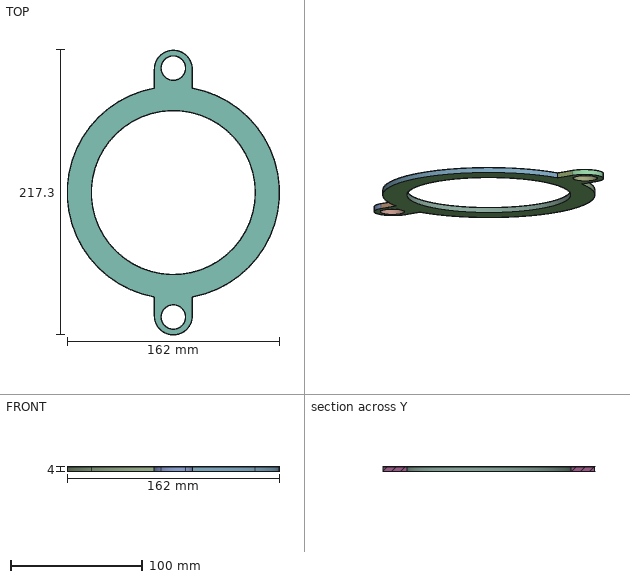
import cadquery as cq

ring_diameter = 162.0
bore_diameter = 125.0
thickness = 4.0

overall_length = 217.3
lug_width = 29.1
lug_hole_diameter = 18.5
lug_hole_y = 95.0


def extruded_disc(diameter, y=0.0):
    return cq.Workplane("XY").center(0, y).circle(diameter / 2).extrude(thickness)


lug_bar = cq.Workplane("XY").slot2D(overall_length, lug_width, 90).extrude(thickness)

result = extruded_disc(ring_diameter).union(lug_bar)
result = result.cut(extruded_disc(bore_diameter))
for side in (-1, 1):
    result = result.cut(extruded_disc(lug_hole_diameter, side * lug_hole_y))